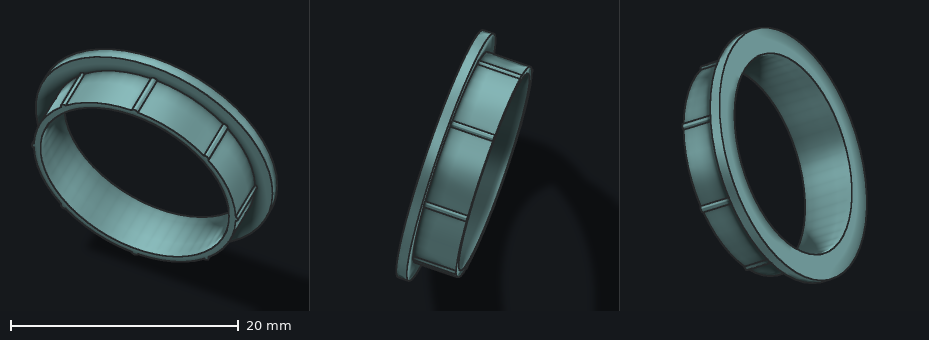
import cadquery as cq

flange_diameter = 23.0
bore_diameter = 18.3
sleeve_diameter = 19.6
total_length = 5.0
flange_thickness = 1.0

rib_count = 8
rib_radius = 0.32
rib_tip_diameter = 20.0
rib_center_radius = rib_tip_diameter / 2 - rib_radius

sleeve_length = total_length - flange_thickness
sleeve_front = -total_length / 2
flange_front = sleeve_front + sleeve_length


def sketch_plane(y_position):
    """Plane square to the Y axis; its normal points toward -Y."""
    return cq.Workplane("XZ", origin=(0, y_position, 0))


def make_cylinder(diameter, start, length):
    """Solid cylinder on the Y axis, growing from Y = start toward +Y."""
    return sketch_plane(start).circle(diameter / 2).extrude(-length)


def make_ribs():
    """Ring of half-buried round ribs, as long as the sleeve."""
    centers = sketch_plane(sleeve_front).polarArray(rib_center_radius, 0, 360, rib_count)
    return centers.circle(rib_radius).extrude(-sleeve_length)


flange = make_cylinder(flange_diameter, flange_front, flange_thickness)
sleeve = make_cylinder(sleeve_diameter, sleeve_front, sleeve_length)
bore = make_cylinder(bore_diameter, sleeve_front, total_length)

result = flange.union(sleeve).union(make_ribs()).cut(bore)